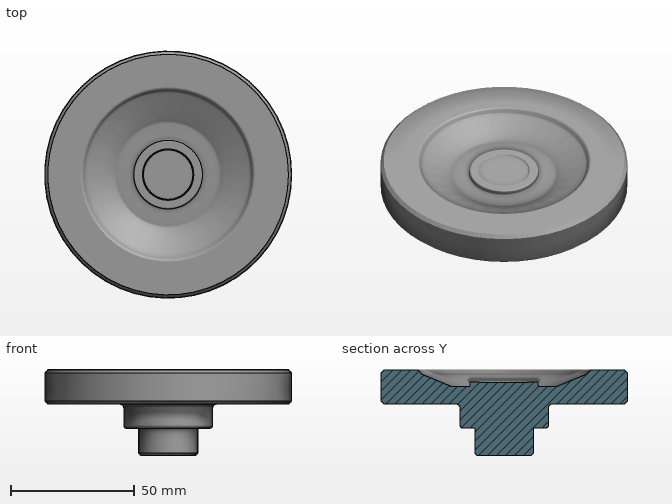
import cadquery as cq

wheel_radius = 50.0
wheel_thickness = 14.0
wheel_chamfer = 1.3

hub_radius = 18.0
hub_length = 9.8
hub_edge_round = 1.3
hub_root_fillet = 1.5

shaft_radius = 12.0
shaft_length = 11.0
shaft_chamfer = 1.0

bowl_depth = 6.8
bowl_mouth_radius = 34.8
bowl_wall_foot_radius = 33.5
bowl_wall_depth = 1.7
bowl_floor_radius = 21.2
bowl_mouth_round = 1.3
bowl_wall_foot_round = 1.0
bowl_floor_round = 2.0

boss_radius = 13.9
boss_height = 2.0
boss_edge_round = 0.5

recess_radius = 10.4
recess_floor_radius = 10.0
recess_depth = 0.4

selection_margin = 0.05

hub_bottom = -hub_length
shaft_bottom = hub_bottom - shaft_length
bowl_floor = wheel_thickness - bowl_depth
boss_top = bowl_floor + boss_height
bowl_wall_foot = wheel_thickness - bowl_wall_depth


def disc(radius, bottom, height):
    return cq.Workplane("XY").workplane(offset=bottom).circle(radius).extrude(height)


def edge_circle(radius, level):
    """Select the circular edge of the given radius and level on the axis."""
    reach = radius + selection_margin
    inner = radius - selection_margin
    low = level - selection_margin
    high = level + selection_margin
    outer_box = cq.selectors.BoxSelector((-reach, -reach, low), (reach, reach, high), True)
    inner_box = cq.selectors.BoxSelector((-inner, -inner, low), (inner, inner, high), True)
    return outer_box - inner_box


def bowl_cutter():
    """Bowl: steep mouth wall, then a conical slope down to a flat floor."""
    return (
        cq.Workplane("XZ")
        .moveTo(0, bowl_floor)
        .lineTo(bowl_floor_radius, bowl_floor)
        .lineTo(bowl_wall_foot_radius, bowl_wall_foot)
        .lineTo(bowl_mouth_radius, wheel_thickness)
        .lineTo(0, wheel_thickness)
        .close()
        .revolve(360, (0, 0, 0), (0, 1, 0))
    )


wheel = disc(wheel_radius, 0, wheel_thickness).edges().chamfer(wheel_chamfer)
hub = disc(hub_radius, hub_bottom, hub_length).faces("<Z").edges().fillet(hub_edge_round)
shaft = disc(shaft_radius, shaft_bottom, shaft_length).faces("<Z").edges().chamfer(shaft_chamfer)
body = wheel.union(hub).union(shaft)
body = body.edges(edge_circle(hub_radius, 0)).fillet(hub_root_fillet)

body = body.cut(bowl_cutter())
body = body.edges(edge_circle(bowl_mouth_radius, wheel_thickness)).fillet(bowl_mouth_round)
body = body.edges(edge_circle(bowl_wall_foot_radius, bowl_wall_foot)).fillet(bowl_wall_foot_round)
body = body.edges(edge_circle(bowl_floor_radius, bowl_floor)).fillet(bowl_floor_round)

boss = disc(boss_radius, bowl_floor, boss_height).faces(">Z").edges().fillet(boss_edge_round)
body = body.union(boss)
body = body.edges(edge_circle(boss_radius, bowl_floor)).fillet(boss_edge_round)

recess = (
    cq.Workplane("XY")
    .workplane(offset=boss_top - recess_depth)
    .circle(recess_floor_radius)
    .workplane(offset=recess_depth)
    .circle(recess_radius)
    .loft()
)

result = body.cut(recess)